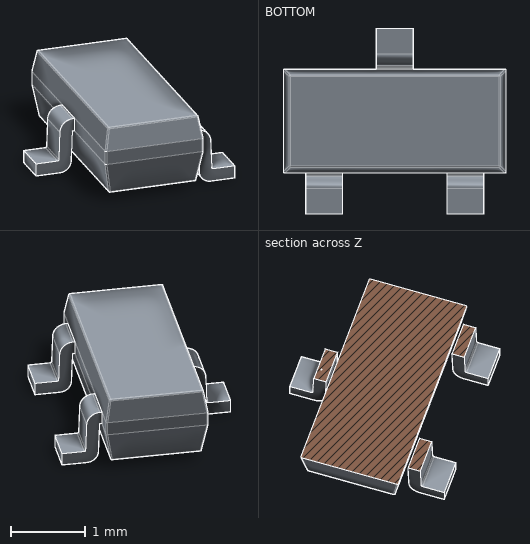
import cadquery as cq
import math

BODY_LENGTH = 3.0
BODY_WIDTH = 1.4
BODY_BOTTOM_Z = 0.13
BODY_TOP_Z = 1.09
BAND_BOTTOM_Z = 0.582
BAND_TOP_Z = 0.77
DRAFT_ANGLE = 10.0
EDGE_RADIUS = 0.02

LEAD_THICKNESS = 0.178
LEAD_WIDTH = 0.5
LEAD_SPAN = 2.5
OUTER_LEAD_X = 0.95
LEAD_TOP_Z = 0.765
SHANK_OUTER_Y = 0.904
SHANK_TILT = 2.0
UPPER_OUTER_RADIUS = 0.18
UPPER_INNER_RADIUS = 0.01
LOWER_OUTER_RADIUS = 0.16
LOWER_INNER_RADIUS = 0.02
LEAD_EMBED = 0.2

LEAD_UNDERSIDE_Z = LEAD_TOP_Z - LEAD_THICKNESS


def make_body():
    """Body with a straight band, drafted above and below, all outer corners rounded."""
    band = (
        cq.Workplane("XY", origin=(0, 0, BAND_BOTTOM_Z))
        .rect(BODY_LENGTH, BODY_WIDTH)
        .extrude(BAND_TOP_Z - BAND_BOTTOM_Z)
    )
    upper = (
        cq.Workplane("XY", origin=(0, 0, BAND_TOP_Z))
        .rect(BODY_LENGTH, BODY_WIDTH)
        .extrude(BODY_TOP_Z - BAND_TOP_Z, taper=DRAFT_ANGLE)
    )
    lower = (
        cq.Workplane("XY", origin=(0, 0, BAND_BOTTOM_Z))
        .rect(BODY_LENGTH, BODY_WIDTH)
        .extrude(BODY_BOTTOM_Z - BAND_BOTTOM_Z, taper=DRAFT_ANGLE)
    )
    body = band.union(upper).union(lower)
    corners = body.edges("not(#Z)")
    rims = body.faces("<Z or >Z").edges()
    return body.newObject(corners.vals() + rims.vals()).edges().fillet(EDGE_RADIUS)


def make_lead():
    """Lead centred on X = 0, leaving the body toward +Y and standing on Z = 0."""
    foot_end_y = LEAD_SPAN / 2
    start_y = BODY_WIDTH / 2 - LEAD_EMBED
    slope = math.tan(math.radians(SHANK_TILT))
    shank_depth = LEAD_THICKNESS / math.cos(math.radians(SHANK_TILT))

    def outer_face(z):
        return (SHANK_OUTER_Y + (LEAD_TOP_Z - z) * slope, z)

    def inner_face(z):
        outer_y, _ = outer_face(z)
        return (outer_y - shank_depth, z)

    upper_outer = outer_face(LEAD_TOP_Z)
    upper_inner = inner_face(LEAD_UNDERSIDE_Z)
    lower_inner = outer_face(LEAD_THICKNESS)
    lower_outer = inner_face(0)

    lead = (
        cq.Workplane("YZ", origin=(-LEAD_WIDTH / 2, 0, 0))
        .polyline(
            [
                (start_y, LEAD_TOP_Z),
                upper_outer,
                lower_inner,
                (foot_end_y, LEAD_THICKNESS),
                (foot_end_y, 0),
                lower_outer,
                upper_inner,
                (start_y, LEAD_UNDERSIDE_Z),
            ]
        )
        .close()
        .extrude(LEAD_WIDTH)
    )
    bends = [
        (upper_outer, UPPER_OUTER_RADIUS),
        (upper_inner, UPPER_INNER_RADIUS),
        (lower_outer, LOWER_OUTER_RADIUS),
        (lower_inner, LOWER_INNER_RADIUS),
    ]
    for (y, z), radius in bends:
        bend_edge = lead.edges("|X").edges(cq.selectors.NearestToPointSelector((0, y, z)))
        lead = lead.newObject(bend_edge.vals()).fillet(radius)
    return lead


lead = make_lead()
result = make_body()
for lead_x in (-OUTER_LEAD_X, OUTER_LEAD_X):
    result = result.union(lead.translate((lead_x, 0, 0)))
result = result.union(lead.rotate((0, 0, 0), (0, 0, 1), 180))